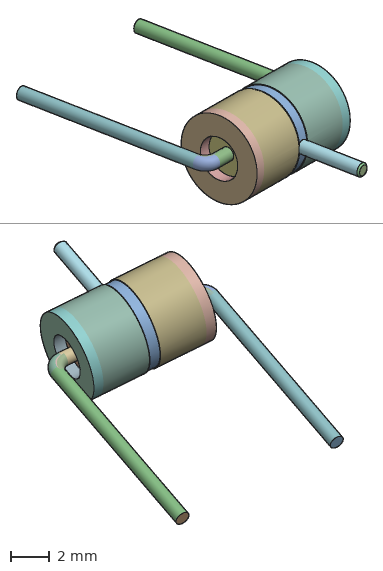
import cadquery as cq

body_diameter = 5.1
body_length = 7.55
cap_thickness = 0.6
band_diameter = 5.0
band_width = 0.65
recess_diameter = 2.5
recess_depth = 0.7

wire_diameter = 0.8
outer_bend_radius = 0.6
inner_bend_radius = 0.8
lead_spacing = 9.5
lead_reach = 12.45

pin_reach = 6.55
pin_tip_chamfer = 0.1

half_length = body_length / 2
cap_start = half_length - cap_thickness
band_edge = band_width / 2
recess_floor = half_length - recess_depth
lead_offset = lead_spacing / 2


def disc(diameter, start, end):
    """Cylinder about the Y axis between two Y positions."""
    plane = cq.Plane(origin=(0, start, 0), xDir=(1, 0, 0), normal=(0, 1, 0))
    return cq.Workplane(plane).circle(diameter / 2).extrude(end - start)


def half_body():
    """The +Y sleeve with its recessed end cap."""
    sleeve = disc(body_diameter, band_edge, cap_start)
    cap = disc(body_diameter, cap_start, half_length)
    recess = disc(recess_diameter, recess_floor, half_length)
    return sleeve.union(cap, clean=False).cut(recess, clean=False)


def half_lead(bend_radius, side):
    """Half of the wire along its bent centreline; side is +1 outside the bend, -1 inside it."""
    radius = wire_diameter / 2
    path = (
        cq.Workplane("XY")
        .lineTo(0, lead_offset - bend_radius)
        .radiusArc((-bend_radius, lead_offset), -bend_radius)
        .lineTo(-lead_reach, lead_offset)
    )
    section = (
        cq.Workplane("XZ")
        .moveTo(0, -radius)
        .threePointArc((side * radius, 0), (0, radius))
        .close()
    )
    return section.sweep(path)


def bend_web():
    """Flat-sided crescent filling the gap between the outer and inner halves of the bend."""
    return (
        cq.Workplane("XY", origin=(0, 0, -wire_diameter / 2))
        .moveTo(0, lead_offset - inner_bend_radius)
        .lineTo(0, lead_offset - outer_bend_radius)
        .radiusArc((-outer_bend_radius, lead_offset), -outer_bend_radius)
        .lineTo(-inner_bend_radius, lead_offset)
        .radiusArc((0, lead_offset - inner_bend_radius), inner_bend_radius)
        .close()
        .extrude(wire_diameter)
    )


def lead():
    """The +Y lead: out of the recess along Y, round the bend, then along -X."""
    outer_half = half_lead(outer_bend_radius, 1)
    inner_half = half_lead(inner_bend_radius, -1)
    return outer_half.union(bend_web()).union(inner_half)


def pin():
    """Straight pin from the body axis toward +X with a chamfered tip."""
    rod = cq.Workplane("YZ").circle(wire_diameter / 2).extrude(pin_reach)
    return rod.faces(">X").chamfer(pin_tip_chamfer)


result = disc(band_diameter, -band_edge, band_edge)
for piece in (half_body(), lead()):
    result = result.union(piece, clean=False)
    result = result.union(piece.mirror("XZ"), clean=False)
result = result.union(pin(), clean=False)